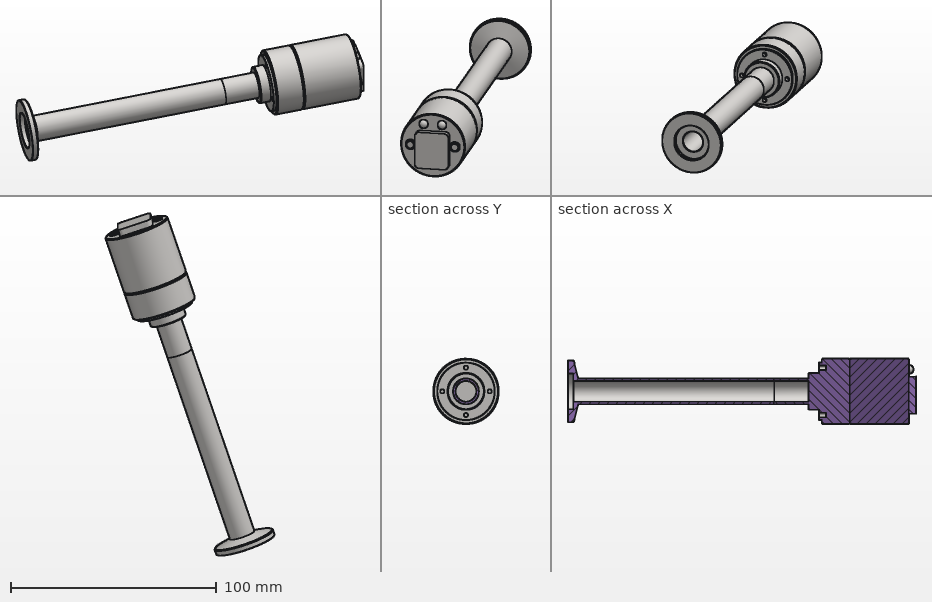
import cadquery as cq


RIM_END = 2.5
CONE_START = 3.0
CONE_END = 5.0
TUBE_JOINT = 100.0
COLLAR_FRONT = 116.8
PLATE_FRONT = 121.8
RING_FRONT = 123.2
COVER_FRONT = 136.9
COVER_BACK = 165.6
CONNECTOR_BACK = 169.0

HOUSING_DIA = 32.0
FLANGE_DIA = 30.0
SEAT_DIA = 17.2
TUBE_DIA = 12.7
BORE_DIA = 10.0
COLLAR_DIA = 18.0
PLATE_DIA = 28.0

RIM_BREAK = 0.5
FLANGE_EDGE_BREAK = 0.25
HOUSING_CHAMFER = 0.5
COLLAR_CHAMFER = 0.42
PLATE_CHAMFER = 0.2

SEAT_DEPTH = 2.5

PLATE_HOLE_COUNT = 4
PLATE_HOLE_DIA = 2.0
PLATE_HOLE_CIRCLE_RADIUS = 11.5
PLATE_HOLE_DEPTH = 3.4

CONNECTOR_WIDTH = 16.7
CONNECTOR_HEIGHT = 18.3
CONNECTOR_CENTRE_Z = -1.9
CONNECTOR_CORNER_RADIUS = 2.2

LAMP_RADIUS = 2.2
LAMP_X = 4.5
LAMP_Z = 10.6
SCREW_HEAD_DIA = 4.9
SCREW_HEAD_HEIGHT = 1.2
SCREW_HEAD_CHAMFER = 0.7
SCREW_X = 11.0


def revolve_about_y(profile):
    """Revolve a closed outline of (radius, Y) points about the Y axis."""
    return profile.close().revolve(360, (0, 0, 0), (0, 1, 0))


def cylinder(dia, start, end):
    """Cylinder on the Y axis between two stations."""
    return cq.Workplane("XZ", origin=(0, start, 0)).circle(dia / 2).extrude(start - end)


def make_flange_tube():
    """Clamp flange with a tapered back and a long tube, bored right through."""
    tube_radius = TUBE_DIA / 2
    flange_radius = FLANGE_DIA / 2
    seat_radius = SEAT_DIA / 2
    bore_radius = BORE_DIA / 2
    outline = cq.Workplane("XY").polyline([
        (seat_radius + FLANGE_EDGE_BREAK, 0),
        (flange_radius - FLANGE_EDGE_BREAK, 0),
        (flange_radius, FLANGE_EDGE_BREAK),
        (flange_radius, RIM_END),
        (flange_radius - RIM_BREAK, CONE_START),
        (tube_radius, CONE_END),
        (tube_radius, TUBE_JOINT),
        (bore_radius, TUBE_JOINT),
        (bore_radius, SEAT_DEPTH + FLANGE_EDGE_BREAK),
        (bore_radius + FLANGE_EDGE_BREAK, SEAT_DEPTH),
        (seat_radius, SEAT_DEPTH),
        (seat_radius, FLANGE_EDGE_BREAK),
    ])
    return revolve_about_y(outline)


def make_sensor_base():
    """Housing ring, front plate, collar and hollow stem in one piece."""
    ring = cylinder(HOUSING_DIA, RING_FRONT, COVER_FRONT).edges().chamfer(HOUSING_CHAMFER)
    plate = cylinder(PLATE_DIA, PLATE_FRONT, RING_FRONT).edges("<Y").chamfer(PLATE_CHAMFER)
    collar = cylinder(COLLAR_DIA, COLLAR_FRONT, PLATE_FRONT).edges("<Y").chamfer(COLLAR_CHAMFER)
    stem = cylinder(TUBE_DIA, TUBE_JOINT, COLLAR_FRONT)
    bore = cylinder(BORE_DIA, TUBE_JOINT, COLLAR_FRONT)
    plate_holes = (
        cq.Workplane("XZ", origin=(0, PLATE_FRONT, 0))
        .polarArray(PLATE_HOLE_CIRCLE_RADIUS, 0, 360, PLATE_HOLE_COUNT)
        .circle(PLATE_HOLE_DIA / 2)
        .extrude(-PLATE_HOLE_DEPTH)
    )
    return ring.union(plate).union(collar).union(stem).cut(bore).cut(plate_holes)


def make_cover():
    """Cylindrical cover behind the sensor ring, chamfered at both ends."""
    return cylinder(HOUSING_DIA, COVER_FRONT, COVER_BACK).edges().chamfer(HOUSING_CHAMFER)


def make_connector():
    """Rounded rectangular connector block standing on the cover."""
    return (
        cq.Workplane("XZ", origin=(0, COVER_BACK, CONNECTOR_CENTRE_Z))
        .rect(CONNECTOR_WIDTH, CONNECTOR_HEIGHT)
        .extrude(COVER_BACK - CONNECTOR_BACK)
        .edges("|Y")
        .fillet(CONNECTOR_CORNER_RADIUS)
    )


def make_lamp(x):
    """Hemispherical indicator lamp."""
    outline = (
        cq.Workplane("XY")
        .lineTo(LAMP_RADIUS, 0)
        .radiusArc((0, LAMP_RADIUS), -LAMP_RADIUS)
    )
    return revolve_about_y(outline).translate((x, COVER_BACK, LAMP_Z))


def make_screw_head(x):
    """Low screw head with a chamfered top edge."""
    head = cylinder(SCREW_HEAD_DIA, COVER_BACK, COVER_BACK + SCREW_HEAD_HEIGHT)
    return head.edges(">Y").chamfer(SCREW_HEAD_CHAMFER).translate((x, 0, 0))


flange_tube = make_flange_tube()
sensor_base = make_sensor_base()
cover = make_cover()
connector = make_connector()
lamps = [make_lamp(side * LAMP_X) for side in (-1, 1)]
screw_heads = [make_screw_head(side * SCREW_X) for side in (-1, 1)]

result = cq.Compound.makeCompound([
    flange_tube.val(),
    sensor_base.val(),
    cover.val(),
    connector.val(),
    *[lamp.val() for lamp in lamps],
    *[head.val() for head in screw_heads],
])